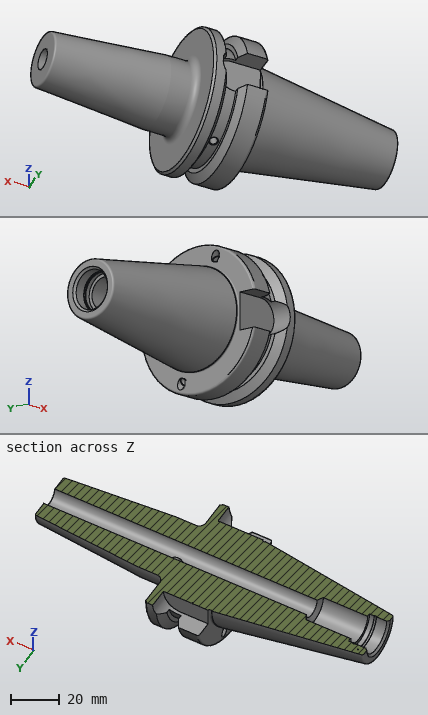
import cadquery as cq
import math


gauge_diameter = 44.45
taper_rate = 7 / 24
taper_length = 65.4
tail_fillet = 0.9
relief_start = 0.6
relief_diameter = 44
relief_fillet = 0.5

flange_diameter = 63
flange_back = 2
flange_front = 27
flange_back_fillet = 1
flange_front_chamfer = 1
groove_center = 16.6
groove_width = 10
groove_half_angle = 30
groove_neck_width = 5.3
groove_floor_diameter = 51

neck_diameter = 32
neck_end = 39.2
neck_fillet = 3
nose_end = 90
nose_half_angle = 4.5
nose_fillet = 0.9

mouth_diameter = 19
pilot_diameter = 17
recess_diameter = 17.6
thread_bore_diameter = 13.9
through_diameter = 8.92
recess_start_depth = 6
recess_end_depth = 7
pilot_depth = 9.1
thread_bore_depth = 30
drill_point_half_angle = 59

slot_width = 16.1
slot_floor_offset = 22.6
slot_end = 23.1

drilling_azimuth = 20
port_radius = 27
port_tilt = 40
port_diameter = 4
port_depth = 1.5
drilling_diameter = 3.24
countersink_diameter = 4

tail_end = -taper_length
tail_diameter = gauge_diameter - taper_rate * taper_length
flange_radius = flange_diameter / 2
tan_groove = math.tan(math.radians(groove_half_angle))
groove_start = groove_center - groove_width / 2
groove_stop = groove_center + groove_width / 2
groove_neck_start = groove_center - groove_neck_width / 2
groove_neck_stop = groove_center + groove_neck_width / 2
groove_neck_radius = flange_radius - (groove_width - groove_neck_width) / 2 / tan_groove
nose_diameter = neck_diameter - 2 * (nose_end - neck_end) * math.tan(math.radians(nose_half_angle))
port_slope = math.tan(math.radians(port_tilt))


def revolve_about_x(outline):
    return outline.close().revolve(360, (0, 0, 0), (1, 0, 0))


def fillet_circle(body, x, diameter, size):
    """Round the circular edge of the given diameter at station x."""
    tolerance = 0.01
    station = cq.selectors.BoxSelector(
        (x - tolerance, -diameter, -diameter), (x + tolerance, diameter, diameter), boundingbox=True
    )
    rims = [e for e in body.edges(station).vals() if abs(e.radius() - diameter / 2) < tolerance]
    return body.newObject(rims).fillet(size)


def make_body():
    outline = (
        cq.Workplane("XY")
        .moveTo(tail_end, 0)
        .lineTo(tail_end, tail_diameter / 2)
        .lineTo(0, gauge_diameter / 2)
        .lineTo(relief_start, gauge_diameter / 2)
        .lineTo(relief_start, relief_diameter / 2)
        .lineTo(flange_back, relief_diameter / 2)
        .lineTo(flange_back, flange_radius)
        .lineTo(groove_start, flange_radius)
        .lineTo(groove_neck_start, groove_neck_radius)
        .lineTo(groove_neck_start, groove_floor_diameter / 2)
        .lineTo(groove_neck_stop, groove_floor_diameter / 2)
        .lineTo(groove_neck_stop, groove_neck_radius)
        .lineTo(groove_stop, flange_radius)
        .lineTo(flange_front - flange_front_chamfer, flange_radius)
        .lineTo(flange_front, flange_radius - flange_front_chamfer)
        .lineTo(flange_front, neck_diameter / 2)
        .lineTo(neck_end, neck_diameter / 2)
        .lineTo(nose_end, nose_diameter / 2)
        .lineTo(nose_end, 0)
    )
    body = revolve_about_x(outline)
    body = fillet_circle(body, tail_end, tail_diameter, tail_fillet)
    body = fillet_circle(body, flange_back, flange_diameter, flange_back_fillet)
    body = fillet_circle(body, flange_back, relief_diameter, relief_fillet)
    body = fillet_circle(body, flange_front, neck_diameter, neck_fillet)
    return fillet_circle(body, nose_end, nose_diameter, nose_fillet)


def make_bore():
    mouth_length = (mouth_diameter - pilot_diameter) / 2
    drill_point = (thread_bore_diameter - through_diameter) / 2
    drill_point /= math.tan(math.radians(drill_point_half_angle))
    recess_start = tail_end + recess_start_depth
    recess_end = tail_end + recess_end_depth
    pilot_end = tail_end + pilot_depth
    thread_bore_end = tail_end + thread_bore_depth
    outline = (
        cq.Workplane("XY")
        .moveTo(tail_end, 0)
        .lineTo(tail_end, mouth_diameter / 2)
        .lineTo(tail_end + mouth_length, pilot_diameter / 2)
        .lineTo(recess_start, pilot_diameter / 2)
        .lineTo(recess_start, recess_diameter / 2)
        .lineTo(recess_end, recess_diameter / 2)
        .lineTo(recess_end, pilot_diameter / 2)
        .lineTo(pilot_end, pilot_diameter / 2)
        .lineTo(pilot_end, thread_bore_diameter / 2)
        .lineTo(thread_bore_end, thread_bore_diameter / 2)
        .lineTo(thread_bore_end + drill_point, through_diameter / 2)
        .lineTo(nose_end, through_diameter / 2)
        .lineTo(nose_end, 0)
    )
    return revolve_about_x(outline)


def make_drive_slot():
    """Round-ended slot open toward the tail, on the -Y side."""
    end_radius = slot_width / 2
    end_center = slot_end - end_radius
    return (
        cq.Workplane("XZ", origin=(0, -slot_floor_offset, 0))
        .moveTo(0, -end_radius)
        .lineTo(end_center, -end_radius)
        .threePointArc((slot_end, 0), (end_center, end_radius))
        .lineTo(0, end_radius)
        .close()
        .extrude(flange_radius)
    )


def make_cylinder(start, direction, diameter, length):
    return cq.Workplane(obj=cq.Solid.makeCylinder(diameter / 2, length, start, direction))


def make_drillings():
    """Slanted coolant port and countersunk radial hole, both in the XZ plane on the +Z side."""
    slant = cq.Vector(1, 0, -port_slope).normalized()
    port = cq.Vector(flange_back, 0, port_radius)
    outside = port - slant * port_diameter
    slant_length = port_radius / math.sin(math.radians(port_tilt))
    cutter = make_cylinder(port, slant, drilling_diameter, slant_length)
    mouth = make_cylinder(outside, slant, port_diameter, port_depth + port_diameter)
    inward = cq.Vector(0, 0, -1)
    floor_radius = groove_floor_diameter / 2
    radial_top = cq.Vector(groove_center, 0, floor_radius)
    meeting_radius = port_radius - (groove_center - flange_back) * port_slope
    radial = make_cylinder(radial_top, inward, drilling_diameter, floor_radius - meeting_radius)
    sink_depth = (countersink_diameter - drilling_diameter) / 2
    countersink = cq.Workplane(
        obj=cq.Solid.makeCone(
            countersink_diameter / 2, drilling_diameter / 2, sink_depth, radial_top, inward
        )
    )
    cutter = cutter.union(mouth).union(radial).union(countersink)
    return cutter.rotate((0, 0, 0), (1, 0, 0), drilling_azimuth)


result = make_body().cut(make_bore())
for turn in (0, 180):
    for cutter in (make_drive_slot(), make_drillings()):
        result = result.cut(cutter.rotate((0, 0, 0), (1, 0, 0), turn))